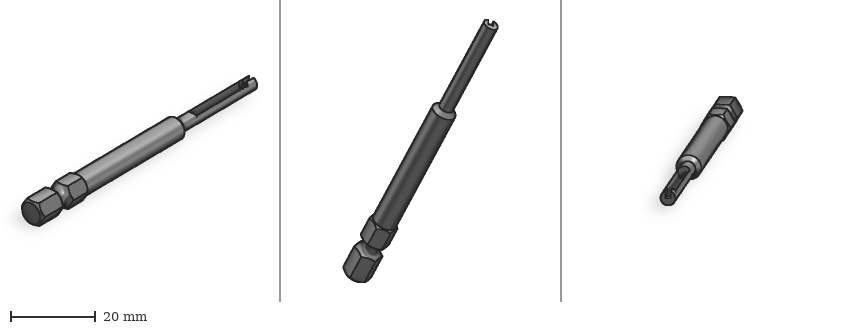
import cadquery as cq
import math

LENGTH = 80.0

BODY_RADIUS = 3.0
BLADE_RADIUS = 3.6 / 2
BLADE_LENGTH = 26.6
SHOULDER_LENGTH = BODY_RADIUS - BLADE_RADIUS

FLAT_STEP = 0.18
ACROSS_FLATS = 2 * (BODY_RADIUS + FLAT_STEP)
CORNER_RADIUS = ACROSS_FLATS / math.sqrt(3)
HEX_LENGTH = 17.0
END_FACE_RADIUS = 2.8

GROOVE_POSITION = 9.3
GROOVE_WAIST_RADIUS = 2.3
GROOVE_ARC_RADIUS = 2.0

TROUGH_WIDTH = 2.7
TROUGH_START = 2.3
TROUGH_END = 22.1

POCKET_RADIUS = 0.9

SLOT_WIDTH = 1.3
SLOT_LENGTH = 1.5
SLOT_FLOOR = 0.0


def revolve_about_y(profile):
    """Revolve a closed XY profile, drawn as radius and position, about the Y axis."""
    return profile.close().revolve(360, (0, 0, 0), (0, 1, 0))


def make_round_body():
    """Round body from the hex drive, coned down to the blade."""
    blade_start = LENGTH - BLADE_LENGTH
    return revolve_about_y(
        cq.Workplane("XY")
        .moveTo(0, HEX_LENGTH)
        .lineTo(BODY_RADIUS, HEX_LENGTH)
        .lineTo(BODY_RADIUS, blade_start - SHOULDER_LENGTH)
        .lineTo(BLADE_RADIUS, blade_start)
        .lineTo(BLADE_RADIUS, LENGTH)
        .lineTo(0, LENGTH)
    )


def make_hex_drive():
    """Hexagon with corners on X, its ends turned to 45 degrees and a round groove."""
    hexagon = cq.Workplane("XZ").polygon(6, 2 * CORNER_RADIUS).extrude(-HEX_LENGTH)
    turned_envelope = revolve_about_y(
        cq.Workplane("XY")
        .lineTo(END_FACE_RADIUS, 0)
        .lineTo(CORNER_RADIUS, CORNER_RADIUS - END_FACE_RADIUS)
        .lineTo(CORNER_RADIUS, HEX_LENGTH - (CORNER_RADIUS - BODY_RADIUS))
        .lineTo(BODY_RADIUS, HEX_LENGTH)
        .lineTo(0, HEX_LENGTH)
    )
    arc_centre = GROOVE_WAIST_RADIUS + GROOVE_ARC_RADIUS
    position = cq.Vector(0, GROOVE_POSITION, 0)
    groove = cq.Solid.makeTorus(arc_centre, GROOVE_ARC_RADIUS, position, cq.Vector(0, 1, 0))
    return hexagon.intersect(turned_envelope).cut(groove)


def make_u_channel(width, back, front):
    """Channel along Y with a round bottom about the axis, open to the top of the blade."""
    length = front - back
    round_bottom = cq.Workplane("XZ", origin=(0, front, 0)).circle(width / 2).extrude(length)
    open_top = (
        cq.Workplane("XY")
        .center(0, (back + front) / 2)
        .rect(width, length)
        .extrude(BLADE_RADIUS)
    )
    return round_bottom.union(open_top)


def make_trough():
    """Channel with upright end walls, each bowed outward to the radius of the blade."""
    back = LENGTH - TROUGH_END
    front = LENGTH - TROUGH_START
    half_width = TROUGH_WIDTH / 2
    bow = BLADE_RADIUS - math.sqrt(BLADE_RADIUS**2 - half_width**2)
    plan = (
        cq.Workplane("XY", origin=(0, 0, -BLADE_RADIUS))
        .moveTo(-half_width, back + bow)
        .threePointArc((0, back), (half_width, back + bow))
        .lineTo(half_width, front - bow)
        .threePointArc((0, front), (-half_width, front - bow))
        .close()
        .extrude(2 * BLADE_RADIUS)
    )
    return make_u_channel(TROUGH_WIDTH, back, front).intersect(plan)


def make_pocket():
    """Blind round pocket running from the trough to the back of the tip slot."""
    front = LENGTH - SLOT_LENGTH
    length = BLADE_RADIUS
    return cq.Workplane("XZ", origin=(0, front, 0)).circle(POCKET_RADIUS).extrude(length)


def make_tip_slot():
    """Slot from the tip to the trough, open at the top of the blade."""
    length = TROUGH_START + BLADE_RADIUS
    return (
        cq.Workplane("XY", origin=(0, LENGTH - length / 2, SLOT_FLOOR))
        .rect(SLOT_WIDTH, length)
        .extrude(BLADE_RADIUS - SLOT_FLOOR)
    )


result = (
    make_round_body()
    .union(make_hex_drive())
    .cut(make_trough())
    .cut(make_pocket())
    .cut(make_tip_slot())
)